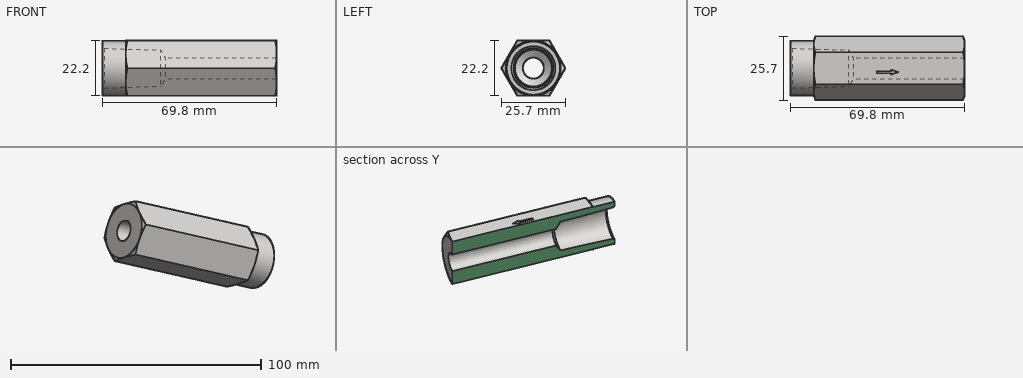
import cadquery as cq
import math

total_length = 69.85
across_flats = 22.225
across_corners = across_flats / math.cos(math.radians(30))
spigot_length = 9.5
spigot_diameter = 22.1
spigot_chamfer_length = 0.25
spigot_chamfer_height = 0.45

corner_break_length = 0.68

mouth_diameter = 17.6
taper_start_diameter = 15.9
bore_diameter = 14.68
pipe_taper = 1 / 16
mouth_chamfer_length = (mouth_diameter - taper_start_diameter) / 2
taper_length = (taper_start_diameter - bore_diameter) / pipe_taper
bore_length = 3.0
through_diameter = 8.33
cone_half_angle = 60.0
cone_length = (bore_diameter - through_diameter) / 2 / math.tan(math.radians(cone_half_angle))

arrow_start_x = 34.7
arrow_neck_x = 40.4
arrow_tip_x = 43.2
arrow_center_y = -1.6
arrow_shaft_width = 0.85
arrow_head_width = 2.0
arrow_depth = 0.1


def revolve_about_x(profile):
    """Revolve (x, radius) points around the X axis."""
    return cq.Workplane("XY").polyline(profile).close().revolve(360, (0, 0, 0), (1, 0, 0))


def make_hexagon():
    """Full-length hexagonal bar with flats facing +Z and -Z."""
    return cq.Workplane("YZ").polygon(6, across_corners).extrude(total_length)


def make_turned_envelope():
    """Turned outline that cuts the spigot and breaks the hexagon corners."""
    spigot_radius = spigot_diameter / 2
    corner_radius = across_corners / 2
    return revolve_about_x([
        (0, 0),
        (0, spigot_radius - spigot_chamfer_height),
        (spigot_chamfer_length, spigot_radius),
        (spigot_length, spigot_radius),
        (spigot_length + corner_break_length, corner_radius),
        (total_length - corner_break_length, corner_radius),
        (total_length, spigot_radius),
        (total_length, 0),
    ])


def make_port():
    """Tapered port entering the spigot end and passing through the part."""
    taper_end = mouth_chamfer_length + taper_length
    bore_end = taper_end + bore_length
    return revolve_about_x([
        (0, 0),
        (0, mouth_diameter / 2),
        (mouth_chamfer_length, taper_start_diameter / 2),
        (taper_end, bore_diameter / 2),
        (bore_end, bore_diameter / 2),
        (bore_end + cone_length, through_diameter / 2),
        (total_length, through_diameter / 2),
        (total_length, 0),
    ])


def make_flow_arrow():
    """Shallow arrow-shaped recess in the top flat."""
    shaft_half = arrow_shaft_width / 2
    head_half = arrow_head_width / 2
    return (
        cq.Workplane("XY", origin=(0, arrow_center_y, across_flats / 2))
        .polyline([
            (arrow_start_x, -shaft_half),
            (arrow_neck_x, -shaft_half),
            (arrow_neck_x, -head_half),
            (arrow_tip_x, 0),
            (arrow_neck_x, head_half),
            (arrow_neck_x, shaft_half),
            (arrow_start_x, shaft_half),
        ])
        .close()
        .extrude(-arrow_depth)
    )


body = make_hexagon().intersect(make_turned_envelope())
result = body.cut(make_port()).cut(make_flow_arrow())